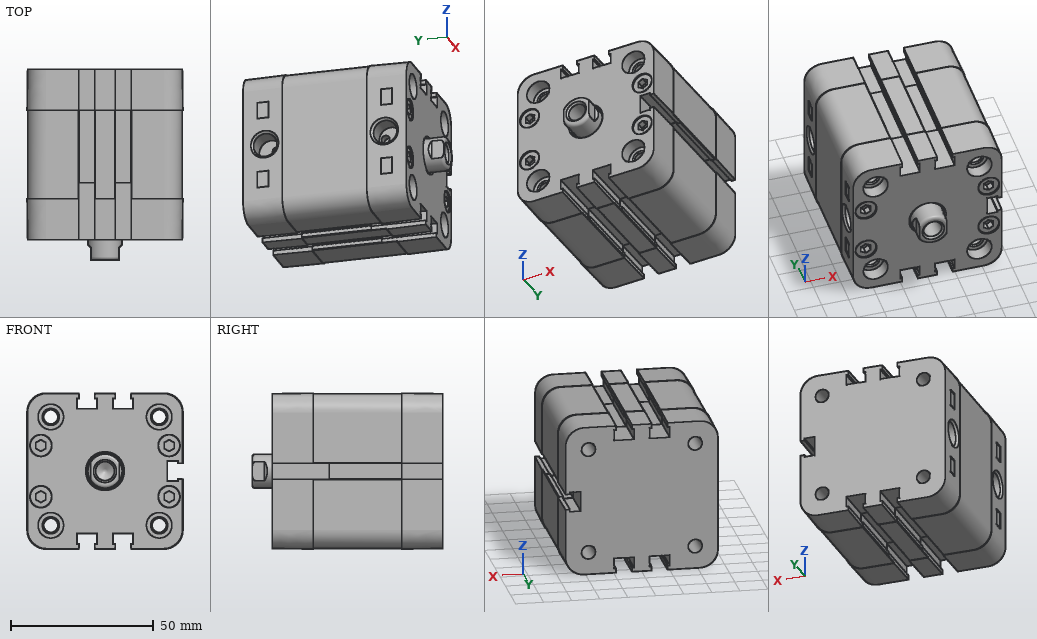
import cadquery as cq
import math

rod_reach = 7.05
overall_length = 67
housing_length = overall_length - rod_reach
cap_length = 14.5
body_length = housing_length - 2 * cap_length
body_front = cap_length
body_back = body_front + body_length

cap_width = 54.8
body_width = 54.4
body_corner_radius = 6.55
cap_growth = (cap_width - body_width) / 2
cap_draft = math.degrees(math.atan(cap_growth / cap_length))

slot_offset = 6.35
slot_floor = 21.85
lip_underside = 25.65
cap_slot_mouth = 5.7
cap_slot_width = 7.2
stem_clearance = 0.2
floor_clearance = 0.1
mouth_clearance = 0.15
mouth_chamfer = 0.3
slot_entry_length = 5.55

mount_spacing = 38.05
mount_diameter = 4.95
mount_rim_diameter = 5.95
mount_counterbore_diameter = 9.0
mount_counterbore_depth = 5.0

screw_spacing_x = 45.0
screw_spacing_z = 17.95
screw_pocket_diameter = 7.7
screw_pocket_depth = 4
screw_head_diameter = 7.5
screw_head_recess = 0.5
hex_flats = 3.55
hex_depth = 2.7
hex_turn = 30

rod_diameter = 12.0
rod_bore_diameter = 12.5
rod_bore_rim_diameter = 13.6
rod_bore_depth = 2
rod_tip_radius = 1.15
rod_flats = 10.0
rod_flat_length = 4.35
rod_hole_diameter = 6.6
rod_hole_rim_diameter = 8.05
rod_hole_depth = 12.05
drill_point_angle = 118

port_inset = 8.0
port_diameter = 8.6
port_rim_diameter = 10.4
port_depth = 8.05
passage_diameter = 3.0
passage_shift = 2
passage_depth = 3.35
label_inset = 7.3
label_height = 13.0
label_length_y = 4.1
label_length_z = 5.9
label_depth = 0.2


def plane_at(y):
    """XZ plane at the given Y, with its normal towards +Y and local x along -X."""
    return cq.Plane(origin=(0, y, 0), xDir=(-1, 0, 0), normal=(0, 1, 0))


def rounded_square(length, draft=0):
    """Body section extruded along +Z of its own frame, growing outwards with the draft."""
    section = cq.Sketch().rect(body_width, body_width).vertices().fillet(body_corner_radius)
    return cq.Workplane("XY").placeSketch(section).extrude(length, taper=-draft)


def cylinder_y(diameter, y_start, length, points=((0, 0),)):
    return cq.Workplane(plane_at(y_start)).pushPoints(points).circle(diameter / 2).extrude(length)


def cone_y(start_diameter, end_diameter, y_start, length):
    cone = cq.Solid.makeCone(
        start_diameter / 2, end_diameter / 2, length, cq.Vector(0, y_start, 0), cq.Vector(0, 1, 0)
    )
    return cq.Workplane(cone)


def slot_block(width, bottom, top, y_start, length):
    """Block centred on X = 0 between two heights above the axis."""
    block = cq.Workplane("XY").box(width, length, top - bottom, centered=(True, False, False))
    return block.translate((0, y_start, bottom))


def cap_slot(y_start, length):
    """T slot cutter of the caps, open towards +Z."""
    stem = slot_block(cap_slot_width, slot_floor, lip_underside, y_start, length)
    return stem.union(slot_block(cap_slot_mouth, slot_floor, cap_width / 2, y_start, length))


def body_slot():
    """Slightly tighter T slot cutter of the body, with chamfered outer edges."""
    stem_width = cap_slot_width - 2 * stem_clearance
    mouth_width = cap_slot_mouth - 2 * mouth_clearance
    top = body_width / 2
    underside = lip_underside - stem_clearance
    floor = slot_floor + floor_clearance
    stem = slot_block(stem_width, floor, underside, body_front, body_length)
    mouth = slot_block(mouth_width, floor, top, body_front, body_length)
    edges = (
        cq.Workplane(plane_at(body_front))
        .polyline([
            (-mouth_width / 2, top - mouth_chamfer),
            (mouth_width / 2, top - mouth_chamfer),
            (mouth_width / 2 + mouth_chamfer, top),
            (-mouth_width / 2 - mouth_chamfer, top),
        ])
        .close()
        .extrude(body_length)
    )
    return stem.union(mouth).union(edges)


def housing():
    front_cap = rounded_square(cap_length, cap_draft).rotate((0, 0, 0), (1, 0, 0), -90)
    back_cap = front_cap.mirror("XZ").translate((0, housing_length, 0))
    body = rounded_square(body_length).rotate((0, 0, 0), (1, 0, 0), -90).translate((0, body_front, 0))
    return body.union(front_cap).union(back_cap)


def cut_slots(part):
    front_slot = cap_slot(0, body_front + slot_entry_length)
    back_slot = cap_slot(body_back, cap_length)
    cutter = front_slot.union(back_slot).union(body_slot())
    places = [(side * slot_offset, turn) for turn in (0, 180) for side in (-1, 1)]
    places.append((0, 90))
    for offset, turn in places:
        part = part.cut(cutter.translate((offset, 0, 0)).rotate((0, 0, 0), (0, 1, 0), turn))
    return part


def cut_mounting_holes(part):
    half = mount_spacing / 2
    points = [(x, z) for x in (-half, half) for z in (-half, half)]
    part = part.cut(cylinder_y(mount_diameter, 0, housing_length, points))
    part = part.cut(cylinder_y(mount_counterbore_diameter, 0, mount_counterbore_depth, points))
    rim_depth = (mount_rim_diameter - mount_diameter) / 2
    rim = cone_y(mount_rim_diameter, mount_diameter, mount_counterbore_depth, rim_depth)
    for x, z in points:
        part = part.cut(rim.translate((x, 0, z)))
    return part


def add_cap_screws(part):
    points = [
        (x * screw_spacing_x / 2, z * screw_spacing_z / 2) for x in (-1, 1) for z in (-1, 1)
    ]
    head_length = screw_pocket_depth - screw_head_recess
    hex_corners = hex_flats / math.cos(math.pi / 6)
    part = part.cut(cylinder_y(screw_pocket_diameter, 0, screw_pocket_depth, points))
    part = part.union(cylinder_y(screw_head_diameter, screw_head_recess, head_length, points))
    for x, z in points:
        socket = cq.Workplane(plane_at(screw_head_recess)).polygon(6, hex_corners).extrude(hex_depth)
        socket = socket.rotate((0, 0, 0), (0, 1, 0), hex_turn).translate((x, 0, z))
        part = part.cut(socket)
    return part


def piston_rod():
    rod = cylinder_y(rod_diameter, -rod_reach, rod_reach + rod_bore_depth)
    rod = rod.faces("<Y").edges().fillet(rod_tip_radius)

    flat_x = rod_flats / 2
    rod_radius = rod_diameter / 2
    run_out = rod_radius - flat_x
    flat_end = rod_flat_length - rod_reach
    flat = (
        cq.Workplane("XY")
        .polyline([
            (flat_x, -rod_reach),
            (flat_x, flat_end),
            (rod_radius, flat_end + run_out),
            (rod_radius, -rod_reach),
        ])
        .close()
        .extrude(rod_radius, both=True)
    )
    return rod.cut(flat).cut(flat.mirror("YZ"))


def cut_rod_hole(part):
    rim_depth = (rod_hole_rim_diameter - rod_hole_diameter) / 2
    hole_end = rod_hole_depth - rod_reach
    point_length = rod_hole_diameter / 2 / math.tan(math.radians(drill_point_angle / 2))
    part = part.cut(cylinder_y(rod_hole_diameter, -rod_reach, rod_hole_depth))
    part = part.cut(cone_y(rod_hole_rim_diameter, rod_hole_diameter, -rod_reach, rim_depth))
    return part.cut(cone_y(rod_hole_diameter, 0, hole_end, point_length))


def add_piston_rod(part):
    rim_depth = (rod_bore_rim_diameter - rod_bore_diameter) / 2
    part = part.cut(cylinder_y(rod_bore_diameter, 0, rod_bore_depth))
    part = part.cut(cone_y(rod_bore_rim_diameter, rod_bore_diameter, 0, rim_depth))
    return cut_rod_hole(part.union(piston_rod()))


def side_hole(diameter, y, depth):
    """Round cutter going in along +X from the -X side."""
    return (
        cq.Workplane("YZ", origin=(-cap_width / 2, 0, 0))
        .center(y, 0)
        .circle(diameter / 2)
        .extrude(depth)
    )


def cut_port(part, y, inward):
    """Air port with a chamfered rim; inward is the Y sense towards the middle of the housing."""
    face_x = -cap_width / 2
    rim_depth = (port_rim_diameter - port_diameter) / 2
    rim = cq.Solid.makeCone(
        port_rim_diameter / 2, port_diameter / 2, rim_depth, cq.Vector(face_x, y, 0), cq.Vector(1, 0, 0)
    )
    part = part.cut(side_hole(port_diameter, y, port_depth))
    part = part.cut(cq.Workplane(rim))
    return part.cut(side_hole(passage_diameter, y + inward * passage_shift, port_depth + passage_depth))


def cut_labels(part, y):
    """Pair of shallow rectangular recesses, above and below the port."""
    recess_floor = -body_width / 2 + label_depth
    cutter_length = label_depth + cap_growth
    recess = cq.Workplane("XY").box(cutter_length, label_length_y, label_length_z)
    for z in (-label_height, label_height):
        part = part.cut(recess.translate((recess_floor - cutter_length / 2, y, z)))
    return part


def cut_side_features(part):
    part = cut_port(part, port_inset, 1)
    part = cut_port(part, housing_length - port_inset, -1)
    part = cut_labels(part, label_inset)
    return cut_labels(part, housing_length - label_inset)


result = housing()
result = cut_slots(result)
result = cut_mounting_holes(result)
result = add_cap_screws(result)
result = add_piston_rod(result)
result = cut_side_features(result)